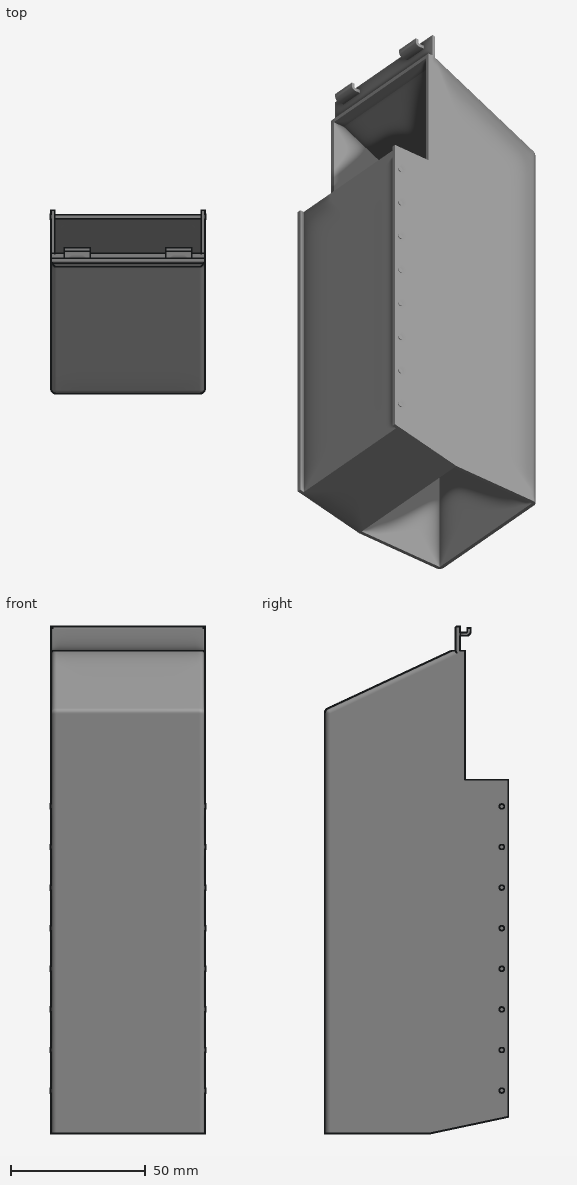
import cadquery as cq
import math

overall_width = 57.7
pin_protrusion = 0.28
width = overall_width - 2 * pin_protrusion
depth = 68.0
height = 188.0
sheet = 1.5

roof_angle = 25.0
shelf_z = 178.9
shelf_front_y = 47.0
notch_y = 52.0
notch_z = 131.2
kink_y = 38.7
rear_bottom_z = 6.2
roof_front_z = shelf_z - shelf_front_y * math.tan(math.radians(roof_angle))
edge_radius = 2.0

flange_thickness = 1.8
flange_back_y = 50.2
flange_front_y = flange_back_y - flange_thickness
flange_radius = 0.85
hook_width = 9.8
hook_center_x = 18.8
hook_thickness = 1.3
hook_inner_radius = 0.4
hook_reach = 4.0
hook_bottom_z = 184.3
hook_top_z = 187.3

inner_width = width - 2 * sheet
panel_recess = 1.7
panel_back_y = depth - panel_recess
panel_bend_radius = 0.5
panel_front_y = panel_back_y - sheet
pin_diameter = 1.8
pin_count = 8
pin_pitch = 15.0
first_pin_z = 16.0
pin_y = panel_back_y - sheet / 2

bottom_slope = rear_bottom_z / (depth - kink_y)
floor_rise = sheet * math.hypot(1, bottom_slope)


def side_profile(points, extent):
    """Prism from (y, z) points, centred on X = 0."""
    return cq.Workplane("YZ").polyline(points).close().extrude(extent / 2, both=True)


def nearest(point):
    """Selector for the edge closest to a point."""
    return cq.selectors.NearestToPointSelector(point)


def bottom_z(y):
    """Height of the rising part of the bottom edge."""
    return (y - kink_y) * bottom_slope


def outer_block():
    """Solid in the outer shape of the cover, with rounded front and roof edges."""
    block = side_profile(
        [
            (0, 0),
            (kink_y, 0),
            (depth, rear_bottom_z),
            (depth, notch_z),
            (notch_y, notch_z),
            (notch_y, shelf_z),
            (shelf_front_y, shelf_z),
            (0, roof_front_z),
        ],
        width,
    )
    roof_middle = (shelf_front_y / 2, (shelf_z + roof_front_z) / 2)
    rounded = [(0, 0, roof_front_z)]
    for x in (-width / 2, width / 2):
        rounded.append((x, 0, roof_front_z / 2))
        rounded.append((x, *roof_middle))
    edges = cq.Workplane("XY")
    for point in rounded:
        edges = edges.add(block.edges(nearest(point)).vals())
    return block.newObject(edges.vals()).fillet(edge_radius)


def cavity():
    """Inside of the cover, open at the bottom and at the back."""
    roof_slope = math.tan(math.radians(roof_angle))
    roof_drop = sheet / math.cos(math.radians(roof_angle))
    ceiling_z = shelf_z - sheet
    ceiling_front_y = shelf_front_y + (roof_drop - sheet) / roof_slope
    return side_profile(
        [
            (sheet, 0),
            (depth, 0),
            (depth, ceiling_z),
            (ceiling_front_y, ceiling_z),
            (sheet, roof_front_z - roof_drop + sheet * roof_slope),
        ],
        inner_width,
    )


def flange():
    """Upright plate with rounded front edges, and the square-edged shelf behind it."""
    base_z = shelf_z - sheet
    centered_in_x = (True, False, False)
    plate = cq.Workplane("XY").box(width, flange_thickness, height - base_z, centered=centered_in_x)
    plate = plate.faces("<Y").edges("not <Z").fillet(flange_radius)
    shelf = cq.Workplane("XY").box(width, notch_y - flange_back_y, sheet, centered=centered_in_x)
    shelf = shelf.translate((0, flange_back_y, base_z))
    return plate.translate((0, flange_front_y, base_z)).union(shelf)


def hook(center_x):
    """L-shaped hook that reaches back from the flange and turns up."""
    tip_y = flange_back_y + hook_reach
    profile = [
        (flange_back_y, hook_bottom_z),
        (tip_y, hook_bottom_z),
        (tip_y, hook_top_z),
        (tip_y - hook_thickness, hook_top_z),
        (tip_y - hook_thickness, hook_bottom_z + hook_thickness),
        (flange_back_y, hook_bottom_z + hook_thickness),
    ]
    bent = side_profile(profile, hook_width)
    inner_corner = (0, tip_y - hook_thickness, hook_bottom_z + hook_thickness)
    outer_corner = (0, tip_y, hook_bottom_z)
    bent = bent.edges(nearest(inner_corner)).fillet(hook_inner_radius)
    bent = bent.edges(nearest(outer_corner)).fillet(hook_inner_radius + hook_thickness)
    return bent.translate((center_x, 0, 0))


def pins(length):
    """Row of round bars across X at the pin positions."""
    centers = [(pin_y, first_pin_z + i * pin_pitch) for i in range(pin_count)]
    return cq.Workplane("YZ").pushPoints(centers).circle(pin_diameter / 2).extrude(length / 2, both=True)


def make_cover():
    """Hood with front, sides and sloping roof, hanging flange, hooks and holes for the pins."""
    cover = outer_block().cut(cavity()).union(flange())
    for x in (-hook_center_x, hook_center_x):
        cover = cover.union(hook(x))
    return cover.cut(pins(width))


def make_back_panel():
    """Upright back and sloping floor, with pins that fill the holes in the cover's sides."""
    inner_corner_z = bottom_z(panel_front_y) + floor_rise
    panel = side_profile(
        [
            (kink_y, 0),
            (panel_back_y, bottom_z(panel_back_y)),
            (panel_back_y, notch_z),
            (panel_front_y, notch_z),
            (panel_front_y, inner_corner_z),
            (kink_y, floor_rise),
        ],
        inner_width,
    )
    panel = panel.edges(nearest((0, panel_front_y, inner_corner_z))).fillet(panel_bend_radius)
    between_walls = cq.Workplane("XY").box(inner_width, 2 * depth, 2 * height)
    return panel.union(pins(overall_width).cut(between_walls))


cover = make_cover()
back_panel = make_back_panel()

result = cq.Compound.makeCompound([cover.val(), back_panel.val()])